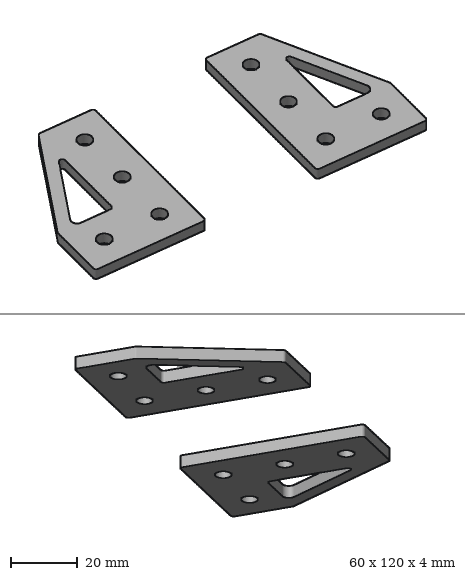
import cadquery as cq

overall_width = 120.0
plate_length = overall_width / 2
plate_width = overall_width / 3
thickness = 4.0
hole_pitch = plate_length / 3
hole_diameter = 5.0
corner_radius = 1.0
window_top_radius = 2.0

inner_edge_y = overall_width / 2 - plate_width
bend_x = 2 * hole_pitch
shoulder_y = hole_pitch
slope = (plate_width - shoulder_y) / bend_x
window_start_x = hole_pitch / 2
window_top_y = shoulder_y + slope * (bend_x - window_start_x)

hole_centers = [((column + 0.5) * hole_pitch, hole_pitch / 2) for column in range(3)]
hole_centers.append((2.5 * hole_pitch, 1.5 * hole_pitch))


def make_window():
    """Cutter for the triangular window with rounded corners."""
    window = (
        cq.Workplane("XY")
        .moveTo(window_start_x, shoulder_y)
        .lineTo(bend_x, shoulder_y)
        .lineTo(bend_x, window_top_y)
        .close()
        .extrude(thickness)
    )
    window = window.edges("|Z").edges(">Y").fillet(window_top_radius)
    sharp_corners = cq.selectors.BoxSelector(
        (0, shoulder_y - corner_radius, -thickness),
        (plate_length, shoulder_y + corner_radius, 2 * thickness),
    )
    return window.edges("|Z").edges(sharp_corners).fillet(corner_radius)


def make_plate():
    """Gusset plate with its long edge along X and its sloping edge towards +Y."""
    plate = (
        cq.Workplane("XY")
        .lineTo(plate_length, 0)
        .lineTo(plate_length, plate_width)
        .lineTo(bend_x, plate_width)
        .lineTo(0, shoulder_y)
        .close()
        .extrude(thickness)
        .edges("|Z")
        .fillet(corner_radius)
    )
    holes = cq.Workplane("XY").pushPoints(hole_centers).circle(hole_diameter / 2).extrude(thickness)
    return plate.cut(holes).cut(make_window())


gusset_plates = []
for mirrored in (False, True):
    gusset_plate = make_plate().translate((-plate_length / 2, inner_edge_y, 0))
    if mirrored:
        gusset_plate = gusset_plate.mirror("XZ")
    gusset_plates.append(gusset_plate.val())

result = cq.Compound.makeCompound(gusset_plates)